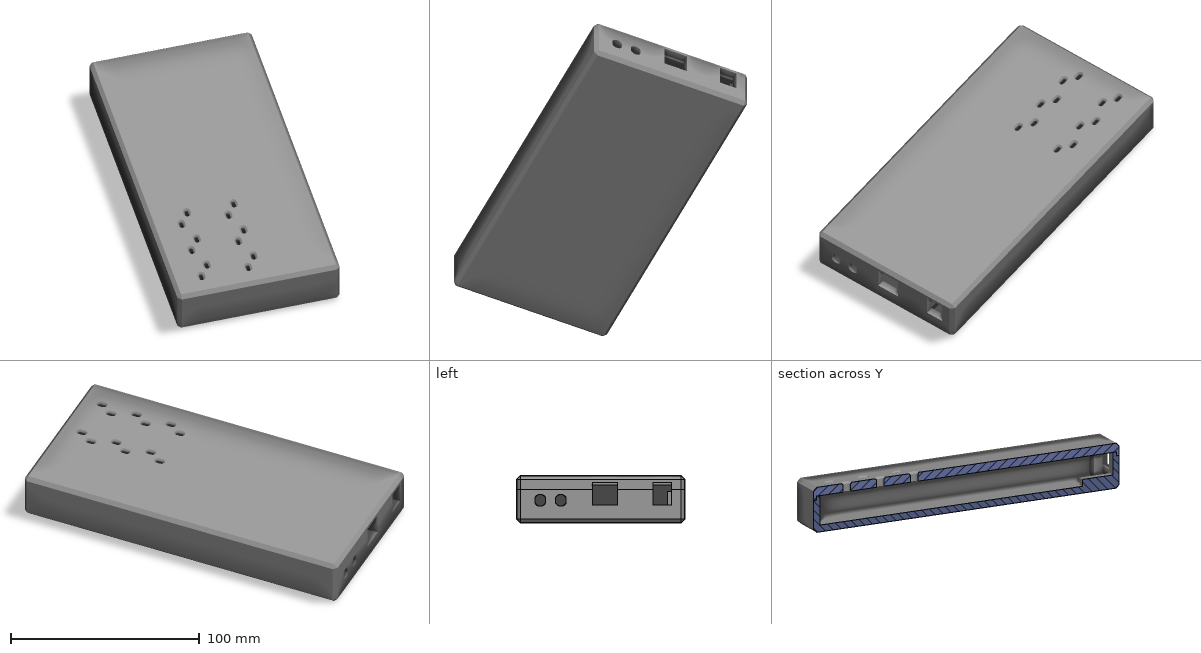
import cadquery as cq

LENGTH = 182.0
WIDTH = 89.0
HEIGHT = 25.1
EDGE_CHAMFER = 2.0
TOP_Z = HEIGHT / 2
BOTTOM_Z = -HEIGHT / 2

WALL = 4.0
FLOOR_THICKNESS = 4.0
LID_PLATE = 5.1
CEILING_Z = TOP_Z - LID_PLATE
FLOOR_Z = BOTTOM_Z + FLOOR_THICKNESS
END_OUTSIDE_X = -LENGTH / 2
END_INSIDE_X = END_OUTSIDE_X + WALL
SIDE_INSIDE_Y = -WIDTH / 2 + WALL

LID_HEIGHT = 7.3
SEAM_Z = TOP_Z - LID_HEIGHT
LIP_THICKNESS = WALL / 2

WINDOWS = [(-2.2, 13.1), (-32.5, 9.6)]
WINDOW_BOTTOM_Z = -3.0
WINDOW_TOP_Z = 9.0

LIGHT_HOLE_DIAMETER = 6.2
LIGHT_HOLE_FLATS = 5.5
LIGHT_HOLE_YS = [32.0, 21.1]
LIGHT_HOLE_Z = -0.5

SLOT_LENGTH = 6.2
SLOT_WIDTH = 4.0
SLOT_BEVEL = 1.0
FIRST_SLOT_X = 31.1
SLOT_ROW_YS = [2.0, -23.7]
PAIRS_PER_ROW = 3
PAIR_PITCH = 20.0
PAIR_STEP_X = 7.5
PAIR_STEP_Y = -5.0

POST_SIDE = 5.1
POST_TOP_Z = 4.2

SUPPORT_LENGTH = 18.2
SUPPORT_WIDTH = 11.8
SUPPORT_START_Y = -26.4
SUPPORT_DROP = 1.8
SUPPORT_TOP_Z = WINDOW_BOTTOM_Z - SUPPORT_DROP


def box_between(x_range, y_range, z_range):
    """Box spanning the given (low, high) limits along each axis."""
    sizes = [high - low for low, high in (x_range, y_range, z_range)]
    corner = (x_range[0], y_range[0], z_range[0])
    return cq.Workplane("XY").box(*sizes, centered=False).translate(corner)


def centred_box(length, width, z_range):
    """Box centred on the Z axis in plan."""
    return box_between((-length / 2, length / 2), (-width / 2, width / 2), z_range)


def case_block():
    """Whole outer case as a solid block with all its edges chamfered."""
    return centred_box(LENGTH, WIDTH, (BOTTOM_Z, TOP_Z)).edges().chamfer(EDGE_CHAMFER)


def cavity():
    """Space inside the closed case."""
    return centred_box(LENGTH - 2 * WALL, WIDTH - 2 * WALL, (FLOOR_Z, CEILING_Z))


def lid_region():
    """Space taken by the lid: all above the seam, less the room for the tray lip."""
    rim_inset = 2 * (WALL - LIP_THICKNESS)
    upper_half = centred_box(LENGTH, WIDTH, (SEAM_Z, TOP_Z))
    return upper_half.cut(centred_box(LENGTH - rim_inset, WIDTH - rim_inset, (SEAM_Z, CEILING_Z)))


def window_cutters():
    """Rectangular openings that cross the seam in the -X end wall."""
    cutters = cq.Workplane("XY")
    for centre_y, width in WINDOWS:
        y_range = (centre_y - width / 2, centre_y + width / 2)
        cutters = cutters.add(
            box_between((END_OUTSIDE_X, END_INSIDE_X), y_range, (WINDOW_BOTTOM_Z, WINDOW_TOP_Z))
        )
    return cutters.combine()


def light_hole_cutter(centre_y):
    """Cylinder along X with a flat on its +Y and -Y sides."""
    cylinder = cq.Workplane("YZ").circle(LIGHT_HOLE_DIAMETER / 2).extrude(WALL)
    flats = cq.Workplane("YZ").rect(LIGHT_HOLE_FLATS, LIGHT_HOLE_DIAMETER).extrude(WALL)
    return cylinder.intersect(flats).translate((END_OUTSIDE_X, centre_y, LIGHT_HOLE_Z))


def slot_cutter(x, y):
    """Slot through the lid plate with a 45 degree bevel around its mouth."""
    narrow_length = SLOT_LENGTH - 2 * SLOT_BEVEL
    narrow_width = SLOT_WIDTH - 2 * SLOT_BEVEL
    through = cq.Workplane("XY").slot2D(narrow_length, narrow_width).extrude(-LID_PLATE)
    mouth = cq.Workplane("XY").slot2D(SLOT_LENGTH, SLOT_WIDTH).extrude(-SLOT_BEVEL, taper=45)
    return through.union(mouth).translate((x, y, TOP_Z))


def make_lid():
    lid = case_block().intersect(lid_region()).cut(window_cutters())
    for row_y in SLOT_ROW_YS:
        for pair in range(PAIRS_PER_ROW):
            x = FIRST_SLOT_X + pair * PAIR_PITCH
            lid = lid.cut(slot_cutter(x, row_y))
            lid = lid.cut(slot_cutter(x + PAIR_STEP_X, row_y + PAIR_STEP_Y))
    return lid


def make_tray():
    tray = case_block().cut(lid_region()).cut(cavity()).cut(window_cutters())
    for centre_y in LIGHT_HOLE_YS:
        tray = tray.cut(light_hole_cutter(centre_y))
    post = box_between(
        (END_INSIDE_X, END_INSIDE_X + POST_SIDE),
        (SIDE_INSIDE_Y, SIDE_INSIDE_Y + POST_SIDE),
        (FLOOR_Z, POST_TOP_Z),
    )
    support = box_between(
        (END_INSIDE_X, END_INSIDE_X + SUPPORT_LENGTH),
        (SUPPORT_START_Y, SUPPORT_START_Y + SUPPORT_WIDTH),
        (FLOOR_Z, SUPPORT_TOP_Z),
    )
    return tray.union(post).union(support)


lid = make_lid()
tray = make_tray()
result = cq.Compound.makeCompound([lid.solids().val(), tray.solids().val()])